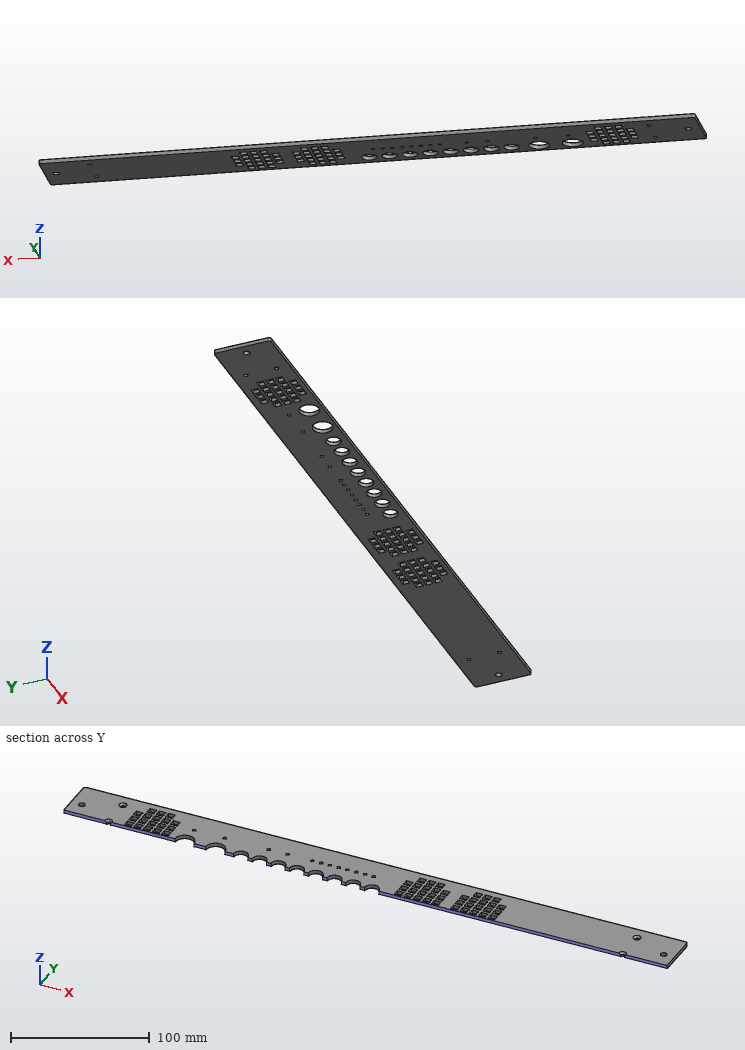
import cadquery as cq

length = 483.0
width = 44.5
thickness = 3.0
corner_radius = 2.0

mount_hole_x = 233.0
mount_hole_diameter = 4.6

screw_x = 205.8
screw_y = 12.0
screw_diameter = 3.0
screw_head_diameter = 6.0
countersink_angle = 90

large_diameter = 15.0
large_edge_margin = 3.0
connector_y = -width / 2 + large_edge_margin + large_diameter / 2
large_xs = (-145.0, -120.5)
medium_diameter = 11.0
medium_start_x = -100.0
medium_pitch = 15.0
medium_count = 8
medium_xs = [medium_start_x + i * medium_pitch for i in range(medium_count)]

indicator_y = 4.0
indicator_diameter = 2.5
indicator_row_start_x = -50.0
indicator_row_end_x = -1.0
indicator_row_count = 8
indicator_pitch = (indicator_row_end_x - indicator_row_start_x) / (indicator_row_count - 1)
indicator_row_xs = [indicator_row_start_x + i * indicator_pitch for i in range(indicator_row_count)]
indicator_xs = [*large_xs, *medium_xs[1:3], *indicator_row_xs]

grille_y = -1.0
grille_count = 5
grille_span = 35.0
grille_web = 2.35
grille_opening = (grille_span - (grille_count - 1) * grille_web) / grille_count
grille_pitch = grille_opening + grille_web
left_grille_gap = 6.5
left_grille_x = large_xs[0] - large_diameter / 2 - left_grille_gap - grille_span / 2
grille_centres_x = (left_grille_x, 40.0, 85.0)


def drill(plate, centres, diameter):
    """Cut plain round through holes at the given centres."""
    return plate.faces(">Z").workplane(origin=(0, 0, 0)).pushPoints(centres).hole(diameter)


def row(xs, y):
    """Points at the given X places, all at the same Y."""
    return [(x, y) for x in xs]


def grille_points(centre_x):
    """Centres of one grille's openings, leaving out the grid corners."""
    half = grille_count // 2
    steps = range(-half, half + 1)
    return [
        (centre_x + i * grille_pitch, grille_y + j * grille_pitch)
        for i in steps
        for j in steps
        if not abs(i) == abs(j) == half
    ]


def cut_grille(plate, centre_x):
    """Cut one grille of square openings through the plate."""
    openings = (
        cq.Workplane("XY")
        .pushPoints(grille_points(centre_x))
        .rect(grille_opening, grille_opening)
        .extrude(thickness)
    )
    return plate.cut(openings)


def cut_screw_holes(plate):
    """Cut the four screw holes, countersunk from the top face."""
    centres = [(x, y) for x in (-screw_x, screw_x) for y in (-screw_y, screw_y)]
    top = plate.faces(">Z").workplane(origin=(0, 0, 0)).pushPoints(centres)
    return top.cskHole(screw_diameter, screw_head_diameter, countersink_angle)


plate = cq.Workplane("XY").box(length, width, thickness, centered=(True, True, False))
plate = plate.edges("|Z").fillet(corner_radius)
plate = drill(plate, row((-mount_hole_x, mount_hole_x), 0), mount_hole_diameter)
plate = cut_screw_holes(plate)
plate = drill(plate, row(large_xs, connector_y), large_diameter)
plate = drill(plate, row(medium_xs, connector_y), medium_diameter)
plate = drill(plate, row(indicator_xs, indicator_y), indicator_diameter)
for grille_x in grille_centres_x:
    plate = cut_grille(plate, grille_x)

result = plate